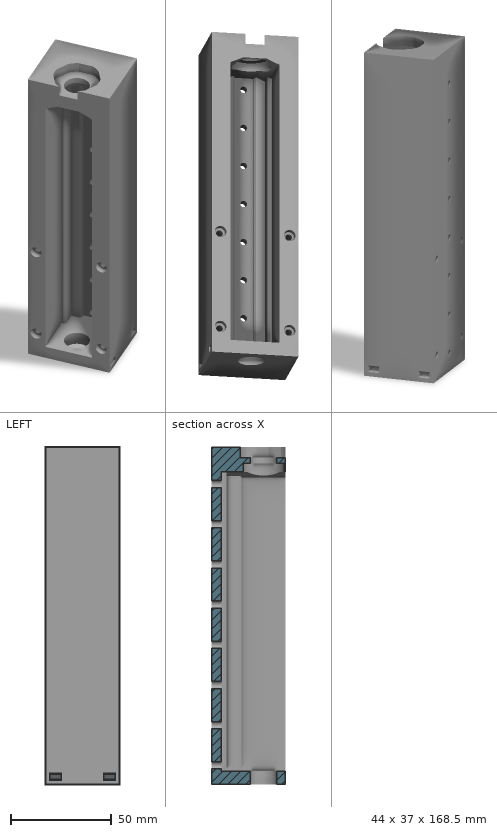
import cadquery as cq
import math

WIDTH = 44.0
DEPTH = 37.0
HEIGHT = 168.5

AXIS_Y = 11.0
ROD_HOLE_DIAMETER = 13.0

SEAT_ACROSS_FLATS = 23.0
SEAT_CORNER_DIAMETER = 24.0
SEAT_DEPTH = 5.2

POCKET_HALF_WIDTH = 12.5
POCKET_DEPTH = 2 * AXIS_Y
POCKET_BOTTOM = 6.7
POCKET_TOP = 156.0
POCKET_TOP_SLOPE_DROP = 2.9

CHANNELS = ((11.5, 29.5), (5.9, 32.0))
CHANNEL_CHAMFER = 1.0

RELIEF_DIAMETER = 20.0
WEB_THICKNESS = 3.0

SMALL_HOLE_DIAMETER = 3.4
BACK_HOLE_COUNT = 8
BACK_HOLE_PITCH = 20.0
BACK_HOLE_FIRST_Z = 9.6

SCREW_X = 17.5
SCREW_HEIGHTS = (13.5, 63.5)
COUNTERBORE_DIAMETER = 5.9
COUNTERBORE_DEPTH = 3.0

SLOT_LENGTH = 5.7
SLOT_MARGIN = 2.2
SLOT_Z = 3.9
SLOT_HEIGHT = 2.4
SLOT_DEPTH = 6.0
SLOT_CHAMFER = 0.5


def make_block():
    """Plain outer block."""
    return cq.Workplane("XY").box(WIDTH, DEPTH, HEIGHT, centered=(True, False, False)).val()


def make_rod_cut():
    """Rod hole through both ends, nut seat in the top and relief below the seat."""
    hole = cq.Workplane("XY").center(0, AXIS_Y).circle(ROD_HOLE_DIAMETER / 2).extrude(HEIGHT)
    seat_z = HEIGHT - SEAT_DEPTH
    seat_plane = cq.Workplane("XY", origin=(0, AXIS_Y, seat_z))
    across_corners = SEAT_ACROSS_FLATS / math.cos(math.pi / 6)
    hexagon = seat_plane.polygon(6, across_corners).extrude(SEAT_DEPTH)
    corner_limit = seat_plane.circle(SEAT_CORNER_DIAMETER / 2).extrude(SEAT_DEPTH)
    relief_bottom = POCKET_TOP - POCKET_TOP_SLOPE_DROP
    relief_height = seat_z - WEB_THICKNESS - relief_bottom
    relief_plane = cq.Workplane("XY", origin=(0, AXIS_Y, relief_bottom))
    relief = relief_plane.circle(RELIEF_DIAMETER / 2).extrude(relief_height)
    return hole.union(hexagon.intersect(corner_limit)).union(relief)


def make_pocket():
    """Front outline of the pocket, limited in depth by its stepped cross-section.

    Each channel behind the pocket narrows through a 45-degree lead-in chamfer.
    """
    flat_half_width = CHANNELS[-1][0]
    shoulder_z = POCKET_TOP - POCKET_TOP_SLOPE_DROP
    outline = (
        cq.Workplane("XZ")
        .polyline([
            (-POCKET_HALF_WIDTH, POCKET_BOTTOM),
            (POCKET_HALF_WIDTH, POCKET_BOTTOM),
            (POCKET_HALF_WIDTH, shoulder_z),
            (flat_half_width, POCKET_TOP),
            (-flat_half_width, POCKET_TOP),
            (-POCKET_HALF_WIDTH, shoulder_z),
        ])
        .close()
        .extrude(-DEPTH)
    )
    right_half = [(POCKET_HALF_WIDTH, 0), (POCKET_HALF_WIDTH, POCKET_DEPTH)]
    wall_y = POCKET_DEPTH
    for mouth_half_width, rear_y in CHANNELS:
        inner_half_width = mouth_half_width - CHANNEL_CHAMFER
        right_half.append((mouth_half_width, wall_y))
        right_half.append((inner_half_width, wall_y + CHANNEL_CHAMFER))
        right_half.append((inner_half_width, rear_y))
        wall_y = rear_y
    left_half = [(-x, y) for x, y in reversed(right_half)]
    section = cq.Workplane("XY").polyline(right_half + left_half).close().extrude(HEIGHT)
    return outline.intersect(section)


def make_back_holes():
    """Even row of holes from the rail groove out through the rear face."""
    heights = [BACK_HOLE_FIRST_Z + i * BACK_HOLE_PITCH for i in range(BACK_HOLE_COUNT)]
    points = [(0, z) for z in heights]
    groove_rear_y = CHANNELS[-1][1]
    back_plane = cq.Workplane("XZ", origin=(0, groove_rear_y, 0))
    return back_plane.pushPoints(points).circle(SMALL_HOLE_DIAMETER / 2).extrude(groove_rear_y - DEPTH)


def make_screw_holes():
    """Through holes beside the pocket, counterbored from the front face."""
    points = [(x, z) for x in (-SCREW_X, SCREW_X) for z in SCREW_HEIGHTS]
    front = cq.Workplane("XZ").pushPoints(points)
    through = front.circle(SMALL_HOLE_DIAMETER / 2).extrude(-DEPTH)
    counterbores = front.circle(COUNTERBORE_DIAMETER / 2).extrude(-COUNTERBORE_DEPTH)
    return through.union(counterbores)


def make_side_slot(side, start_y):
    """Slot running in from one side (-1 or 1), with chamfered top and bottom lips."""
    outer_x = WIDTH / 2
    half_height = SLOT_HEIGHT / 2
    upper = [
        (outer_x, half_height + SLOT_CHAMFER),
        (outer_x - SLOT_CHAMFER, half_height),
        (outer_x - SLOT_DEPTH, half_height),
    ]
    lower = [(x, -z) for x, z in reversed(upper)]
    profile = [(side * x, SLOT_Z + z) for x, z in upper + lower]
    plane = cq.Workplane("XZ", origin=(0, start_y, 0))
    return plane.polyline(profile).close().extrude(-SLOT_LENGTH)


result = cq.Workplane(make_block())
result = result.cut(make_rod_cut())
result = result.cut(make_pocket())
result = result.cut(make_back_holes())
result = result.cut(make_screw_holes())
for slot_side in (-1, 1):
    for slot_y in (SLOT_MARGIN, DEPTH - SLOT_MARGIN - SLOT_LENGTH):
        result = result.cut(make_side_slot(slot_side, slot_y))